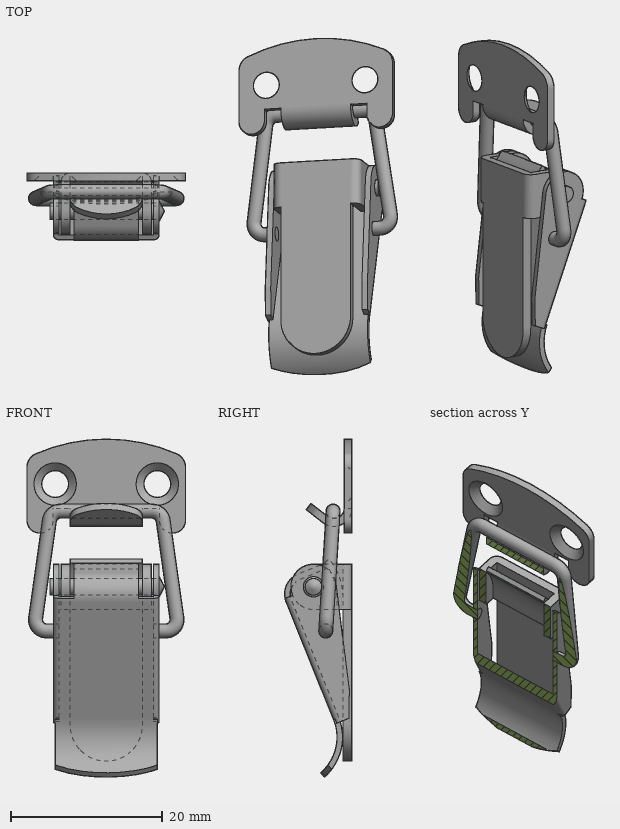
import cadquery as cq
import math


PIN_Y = -5.08
PIN_RADIUS = 1.1
PIN_HEAD_X = -7.45
PIN_PEEN_RADIUS = 1.35
PIN_PEEN_HEIGHT = 0.7

BASE_THICKNESS = 1.2
BASE_HALF_WIDTH = 5.97
BASE_INNER_HALF_WIDTH = BASE_HALF_WIDTH - BASE_THICKNESS
BASE_EAR_RADIUS = 3.0
BASE_BOTTOM_Z = -23.05

LEVER_TILT = 22.0
LEVER_THICKNESS = 0.76
LEVER_HALF_WIDTH = 7.0
LEVER_FACE = 4.13
LEVER_EAR_RADIUS = 3.0
LEVER_BEND_RADIUS = LEVER_THICKNESS
LEVER_WALL_BOTTOM = -17.87
LEVER_WALL_HEEL = (0.72, -14.42)
LEVER_WALL_TOE = (2.2, LEVER_WALL_BOTTOM)
TONGUE_HALF_WIDTH = 4.26
TONGUE_TOP = 2.34
TONGUE_END = -2.35
TONGUE_BEND_RADIUS = 2.87
TONGUE_BEND_CENTER = (TONGUE_BEND_RADIUS - LEVER_FACE, TONGUE_TOP - TONGUE_BEND_RADIUS)
HANDLE_HALF_WIDTH = 6.77
HANDLE_START = -17.27
HANDLE_RADIUS = 6.2
HANDLE_SWEEP = 71.3
HANDLE_TIP_RADIUS = 17.0

LEAF_THICKNESS = 0.8
LEAF_RADIUS = 7.0
LEAF_SWEEP = 40.0
LEAF_TOP_Z = 3.17

WIRE_RADIUS = 0.93
BAIL_BEND_RADIUS = 1.5
BAIL_TOP = (7.34, -2.5, 10.0)
BAIL_BOTTOM = (9.57, -3.47, -5.84)
BAIL_END_X = LEVER_HALF_WIDTH - LEVER_THICKNESS

STRIKE_THICKNESS = 1.05
STRIKE_HALF_WIDTH = 10.5
STRIKE_TOP_Z = 19.53
STRIKE_TOP_RADIUS = 23.3
STRIKE_CORNER_RADIUS = 2.0
STRIKE_BOTTOM_Z = 7.08
STRIKE_LEG_RADIUS = 1.74
SCREW_X = 6.75
SCREW_Z = 13.58
SCREW_DIAMETER = 3.5
SCREW_SINK_DIAMETER = 5.6
HOOK_HALF_WIDTH = BASE_INNER_HALF_WIDTH
HOOK_RADIUS = 1.35
HOOK_CENTER_Z = 10.38
HOOK_RISE = 38.0
HOOK_REACH = 2.8
HOOK_TIP_RADIUS = 7.5
HOOK_TIP_CORNER = 2.0


def polar(center, radius, degrees):
    """Point on a circle, measured in degrees from the first axis towards the second."""
    angle = math.radians(degrees)
    return (center[0] + radius * math.cos(angle), center[1] + radius * math.sin(angle))


def side_plane(x=0.0):
    """Plane across X, with local axes Y and Z."""
    return cq.Workplane("YZ", origin=(x, 0, 0))


def x_cylinder(radius, y, z, x_from, x_to):
    """Round bar along X."""
    return side_plane(x_from).center(y, z).circle(radius).extrude(x_to - x_from)


def make_pin():
    """Hinge pin with a plain head end and a pointed peened end."""
    shank = x_cylinder(PIN_RADIUS, PIN_Y, 0, PIN_HEAD_X, LEVER_HALF_WIDTH)
    peen = cq.Solid.makeCone(
        PIN_PEEN_RADIUS, 0, PIN_PEEN_HEIGHT,
        pnt=cq.Vector(LEVER_HALF_WIDTH, PIN_Y, 0), dir=cq.Vector(1, 0, 0),
    )
    return shank.union(cq.Workplane(peen))


def make_base():
    """Mounting plate with a rounded lower end and two ears that carry the pin."""
    ear = BASE_EAR_RADIUS
    bracket = (
        side_plane()
        .moveTo(0, ear)
        .lineTo(PIN_Y, ear)
        .threePointArc((PIN_Y - ear, 0), (PIN_Y, -ear))
        .lineTo(0, -ear)
        .close()
        .extrude(BASE_HALF_WIDTH, both=True)
        .edges("|Z and >Y").fillet(BASE_THICKNESS)
    )
    channel_depth = -PIN_Y + ear
    channel = cq.Workplane("XY").box(2 * BASE_INNER_HALF_WIDTH, channel_depth, 4 * ear).translate(
        (0, -BASE_THICKNESS - channel_depth / 2, 0)
    )
    end_center_z = BASE_BOTTOM_Z + BASE_INNER_HALF_WIDTH
    tail = (
        cq.Workplane("XZ")
        .moveTo(-BASE_INNER_HALF_WIDTH, 0)
        .lineTo(-BASE_INNER_HALF_WIDTH, end_center_z)
        .threePointArc((0, BASE_BOTTOM_Z), (BASE_INNER_HALF_WIDTH, end_center_z))
        .lineTo(BASE_INNER_HALF_WIDTH, 0)
        .close()
        .extrude(BASE_THICKNESS)
    )
    bore = x_cylinder(PIN_RADIUS, PIN_Y, 0, -BASE_HALF_WIDTH, BASE_HALF_WIDTH)
    return bracket.cut(channel).union(tail).cut(bore)


def lever_outline(points):
    """Open outline through (outward, up) points in the lever's own frame."""
    return side_plane().polyline([(-out, up) for out, up in points])


def make_lever_channel():
    """Front face with two side walls, each ending in a round ear about the pin."""
    heel_out, heel_up = LEVER_WALL_HEEL
    heel_distance = math.hypot(heel_out, heel_up)
    tangent_angle = math.degrees(
        math.atan2(heel_up, heel_out) - math.acos(LEVER_EAR_RADIUS / heel_distance)
    )
    tangent_point = polar((0, 0), LEVER_EAR_RADIUS, tangent_angle)
    bend_drop = math.degrees(math.asin(-TONGUE_BEND_CENTER[1] / TONGUE_BEND_RADIUS))
    ears = side_plane().circle(LEVER_EAR_RADIUS).extrude(LEVER_HALF_WIDTH, both=True)
    block = (
        lever_outline([
            tangent_point, LEVER_WALL_HEEL, LEVER_WALL_TOE,
            (LEVER_FACE, LEVER_WALL_BOTTOM), (LEVER_FACE, TONGUE_BEND_CENTER[1]),
        ])
        .threePointArc(
            polar(TONGUE_BEND_CENTER, TONGUE_BEND_RADIUS, 180 - bend_drop / 2),
            polar(TONGUE_BEND_CENTER, TONGUE_BEND_RADIUS, 180 - bend_drop),
        )
        .lineTo(0, 0)
        .close()
        .extrude(LEVER_HALF_WIDTH, both=True)
        .edges("|Z and <Y").fillet(LEVER_BEND_RADIUS)
        .union(ears)
    )
    inner_half_width = LEVER_HALF_WIDTH - LEVER_THICKNESS
    inside_face = LEVER_FACE - LEVER_THICKNESS
    reach = 2 * LEVER_EAR_RADIUS
    inside_points = [
        (-reach, reach), (inside_face, reach),
        (inside_face, 2 * LEVER_WALL_BOTTOM), (-reach, 2 * LEVER_WALL_BOTTOM),
    ]
    inside = lever_outline(inside_points).close().extrude(inner_half_width, both=True)
    handle_gap_points = [
        (inside_face, HANDLE_START), (LEVER_FACE, HANDLE_START),
        (LEVER_FACE, LEVER_WALL_BOTTOM), (inside_face, LEVER_WALL_BOTTOM),
    ]
    handle_gap = lever_outline(handle_gap_points).close().extrude(HANDLE_HALF_WIDTH, both=True)
    return block.cut(inside).cut(handle_gap)


def make_lever_tongue():
    """Strip that continues the front face and curls back over the pin."""
    center = TONGUE_BEND_CENTER
    inner_radius = TONGUE_BEND_RADIUS - LEVER_THICKNESS
    return (
        side_plane()
        .moveTo(*polar(center, TONGUE_BEND_RADIUS, 180))
        .threePointArc(polar(center, TONGUE_BEND_RADIUS, 135), polar(center, TONGUE_BEND_RADIUS, 90))
        .lineTo(-TONGUE_END, TONGUE_TOP)
        .lineTo(-TONGUE_END, TONGUE_TOP - LEVER_THICKNESS)
        .lineTo(*polar(center, inner_radius, 90))
        .threePointArc(polar(center, inner_radius, 135), polar(center, inner_radius, 180))
        .lineTo(-(LEVER_FACE - LEVER_THICKNESS), HANDLE_START / 2)
        .lineTo(-LEVER_FACE, HANDLE_START / 2)
        .close()
        .extrude(TONGUE_HALF_WIDTH, both=True)
    )


def make_lever_handle():
    """Finger tab that sweeps outward below the front face and ends in a rounded tip."""
    center = (-(LEVER_FACE + HANDLE_RADIUS), HANDLE_START)
    back_radius = HANDLE_RADIUS + LEVER_THICKNESS
    strip = (
        side_plane()
        .moveTo(*polar(center, HANDLE_RADIUS, 0))
        .threePointArc(
            polar(center, HANDLE_RADIUS, -HANDLE_SWEEP / 2),
            polar(center, HANDLE_RADIUS, -HANDLE_SWEEP),
        )
        .lineTo(*polar(center, back_radius, -HANDLE_SWEEP))
        .threePointArc(polar(center, back_radius, -HANDLE_SWEEP / 2), polar(center, back_radius, 0))
        .close()
        .extrude(HANDLE_HALF_WIDTH, both=True)
    )
    tip = polar(center, back_radius, -HANDLE_SWEEP)
    trim_center = polar(tip, HANDLE_TIP_RADIUS, 90 - HANDLE_SWEEP)
    trim_length = 4 * HANDLE_TIP_RADIUS
    trim_start = polar(trim_center, trim_length / 2, 180 - HANDLE_SWEEP)
    trim = cq.Solid.makeCylinder(
        HANDLE_TIP_RADIUS, trim_length,
        pnt=cq.Vector(0, *trim_start), dir=cq.Vector(0, *polar((0, 0), 1, -HANDLE_SWEEP)),
    )
    return strip.intersect(cq.Workplane(trim))


def make_lever():
    """Complete lever, swung to its tilt, with holes for the pin and the bail ends."""
    lever = make_lever_channel().union(make_lever_tongue()).union(make_lever_handle())
    lever = lever.rotate((0, 0, 0), (1, 0, 0), LEVER_TILT).translate((0, PIN_Y, 0))
    pin_bore = x_cylinder(PIN_RADIUS, PIN_Y, 0, -LEVER_HALF_WIDTH, LEVER_HALF_WIDTH)
    bail_bore = x_cylinder(WIRE_RADIUS, *BAIL_BOTTOM[1:], -LEVER_HALF_WIDTH, LEVER_HALF_WIDTH)
    return lever.cut(pin_bore).cut(bail_bore)


def make_leaf():
    """Spring leaf that lies on the base plate and curves outward to the tongue's end."""
    back_y = -BASE_THICKNESS
    front_y = back_y - LEAF_THICKNESS
    bend_z = LEAF_TOP_Z - LEAF_RADIUS * math.sin(math.radians(LEAF_SWEEP))
    center = (front_y - LEAF_RADIUS, bend_z)
    back_radius = LEAF_RADIUS + LEAF_THICKNESS
    return (
        side_plane()
        .moveTo(front_y, -BASE_EAR_RADIUS)
        .lineTo(front_y, bend_z)
        .threePointArc(polar(center, LEAF_RADIUS, LEAF_SWEEP / 2), polar(center, LEAF_RADIUS, LEAF_SWEEP))
        .lineTo(*polar(center, back_radius, LEAF_SWEEP))
        .threePointArc(polar(center, back_radius, LEAF_SWEEP / 2), (back_y, bend_z))
        .lineTo(back_y, -BASE_EAR_RADIUS)
        .close()
        .extrude(BASE_INNER_HALF_WIDTH, both=True)
    )


def make_bail():
    """Wire loop, closed at the top, with its two ends turned inward into the lever walls."""
    def mirrored(point):
        return cq.Vector(-point.x, point.y, point.z)

    right = [cq.Vector(BAIL_END_X, *BAIL_BOTTOM[1:]), cq.Vector(*BAIL_BOTTOM), cq.Vector(*BAIL_TOP)]
    corners = right + [mirrored(point) for point in reversed(right)]
    edges = []
    start = corners[0]
    for before, corner, after in zip(corners, corners[1:], corners[2:]):
        back = (before - corner).normalized()
        ahead = (after - corner).normalized()
        half_angle = back.getAngle(ahead) / 2
        setback = BAIL_BEND_RADIUS / math.tan(half_angle)
        arc_depth = BAIL_BEND_RADIUS / math.sin(half_angle) - BAIL_BEND_RADIUS
        arc_start = corner + back * setback
        arc_end = corner + ahead * setback
        arc_middle = corner + (back + ahead).normalized() * arc_depth
        edges.append(cq.Edge.makeLine(start, arc_start))
        edges.append(cq.Edge.makeThreePointArc(arc_start, arc_middle, arc_end))
        start = arc_end
    edges.append(cq.Edge.makeLine(start, corners[-1]))
    path = cq.Workplane(cq.Wire.assembleEdges(edges))
    return (
        side_plane(BAIL_END_X)
        .center(*BAIL_BOTTOM[1:])
        .circle(WIRE_RADIUS)
        .sweep(path, transition="right")
    )


def make_strike_plate():
    """Flat plate with a crowned top, two rounded legs and two countersunk screw holes."""
    half = STRIKE_HALF_WIDTH
    leg = STRIKE_LEG_RADIUS
    crown = STRIKE_TOP_RADIUS - math.sqrt(STRIKE_TOP_RADIUS**2 - half**2)
    leg_z = STRIKE_BOTTOM_Z + leg
    notch_x = half - 2 * leg
    plate = (
        cq.Workplane("XZ")
        .moveTo(-half, STRIKE_TOP_Z - crown)
        .threePointArc((0, STRIKE_TOP_Z), (half, STRIKE_TOP_Z - crown))
        .lineTo(half, leg_z)
        .threePointArc((half - leg, STRIKE_BOTTOM_Z), (notch_x, leg_z))
        .lineTo(notch_x, HOOK_CENTER_Z)
        .lineTo(-notch_x, HOOK_CENTER_Z)
        .lineTo(-notch_x, leg_z)
        .threePointArc((leg - half, STRIKE_BOTTOM_Z), (-half, leg_z))
        .close()
        .extrude(STRIKE_THICKNESS)
    )
    top_corners = cq.selectors.BoxSelector(
        (-2 * half, -2 * STRIKE_THICKNESS, SCREW_Z), (2 * half, STRIKE_THICKNESS, STRIKE_TOP_Z)
    )
    plate = plate.edges("|Y").edges(top_corners).fillet(STRIKE_CORNER_RADIUS)
    for side in (-1, 1):
        sink = cq.Solid.makeCone(
            SCREW_DIAMETER / 2, SCREW_SINK_DIAMETER / 2, STRIKE_THICKNESS,
            pnt=cq.Vector(side * SCREW_X, 0, SCREW_Z), dir=cq.Vector(0, -1, 0),
        )
        plate = plate.cut(cq.Workplane(sink))
    return plate


def make_strike_hook():
    """Tab bent from the plate's lower edge, curling under the bail and rising outward."""
    center = (-STRIKE_THICKNESS - HOOK_RADIUS, HOOK_CENTER_Z)
    outer_radius = HOOK_RADIUS + STRIKE_THICKNESS
    sweep_end = -90 - HOOK_RISE
    middle = sweep_end / 2
    inner_bend = polar(center, HOOK_RADIUS, sweep_end)
    outer_bend = polar(center, outer_radius, sweep_end)
    strip = (
        side_plane()
        .moveTo(*polar(center, HOOK_RADIUS, 0))
        .threePointArc(polar(center, HOOK_RADIUS, middle), inner_bend)
        .lineTo(*polar(inner_bend, HOOK_REACH, 180 - HOOK_RISE))
        .lineTo(*polar(outer_bend, HOOK_REACH, 180 - HOOK_RISE))
        .lineTo(*outer_bend)
        .threePointArc(polar(center, outer_radius, middle), polar(center, outer_radius, 0))
        .close()
        .extrude(HOOK_HALF_WIDTH, both=True)
    )
    half = HOOK_HALF_WIDTH
    crown = HOOK_TIP_RADIUS - math.sqrt(HOOK_TIP_RADIUS**2 - half**2)
    rise = math.radians(HOOK_RISE)
    flat_normal = cq.Vector(0, -math.sin(rise), -math.cos(rise))
    flat_plane = cq.Plane(origin=(0, *inner_bend), xDir=(1, 0, 0), normal=flat_normal)
    clearance = 2 * outer_radius
    tip_outline = (
        cq.Workplane(flat_plane)
        .moveTo(-half, -clearance)
        .lineTo(-half, HOOK_REACH - crown)
        .threePointArc((0, HOOK_REACH), (half, HOOK_REACH - crown))
        .lineTo(half, -clearance)
        .close()
        .extrude(clearance, both=True)
    )
    tip_corners = cq.selectors.ParallelDirSelector(flat_normal)
    tip_outline = tip_outline.edges(tip_corners).edges("<Y").fillet(HOOK_TIP_CORNER)
    return strip.intersect(tip_outline)


def make_strike():
    """Strike plate and its hook, formed from one sheet."""
    return make_strike_plate().union(make_strike_hook())


strike = make_strike()
bail = make_bail()
base = make_base()
leaf = make_leaf()
lever = make_lever()
pin = make_pin()

bodies = [strike, bail, base, leaf, lever, pin]
result = cq.Compound.makeCompound([body.solids().val() for body in bodies])